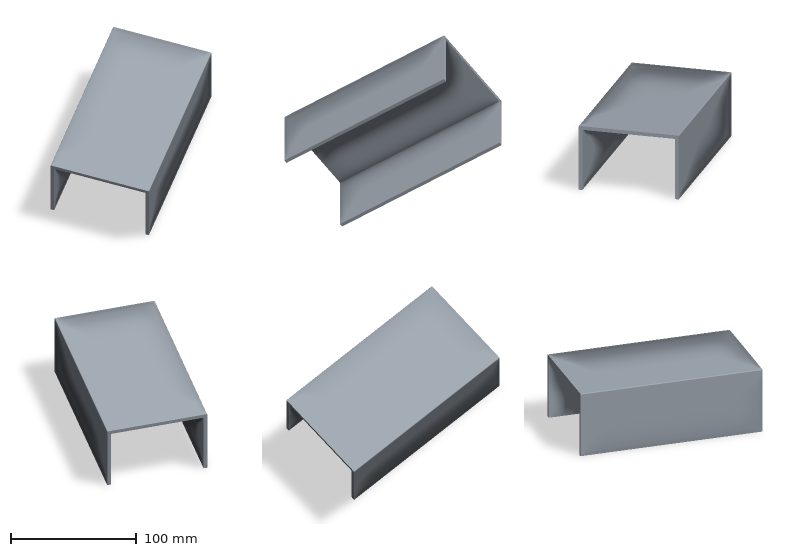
import cadquery as cq

width = 82.6
length = 152.4
height = 54.0
wall = 3.0
edge_radius = 0.8

outer_block = cq.Workplane("XY").box(width, length, height)

channel = (
    cq.Workplane("XY")
    .box(width - 2 * wall, length, height - wall)
    .translate((0, 0, -wall / 2))
)

result = outer_block.cut(channel).edges("|Y and >Z").edges("<X or >X").fillet(edge_radius)